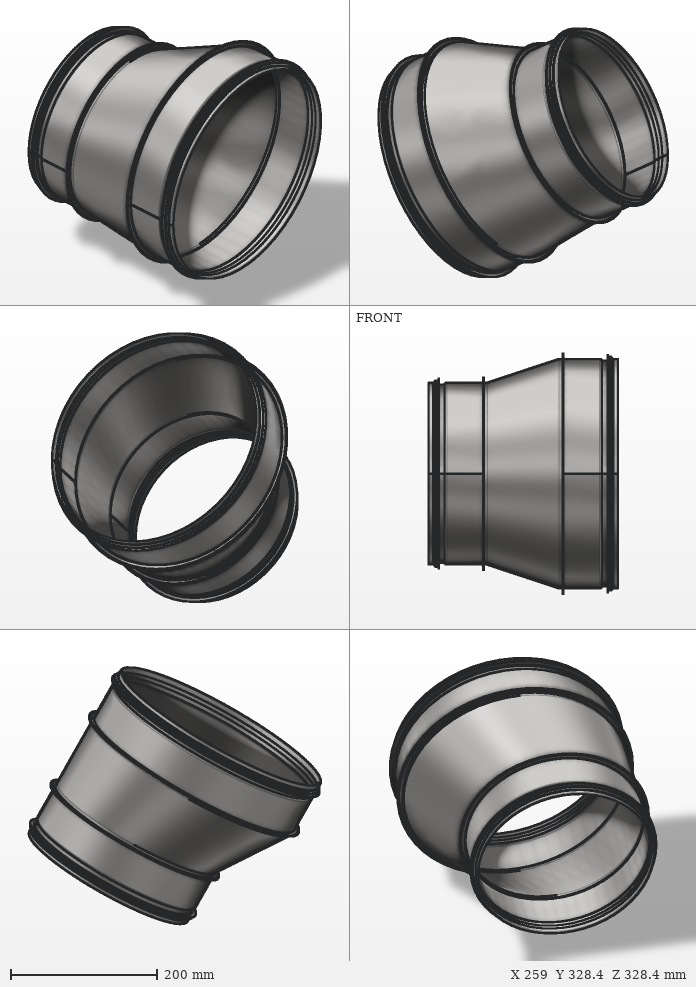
import cadquery as cq
import math

LENGTH = 259.0
SMALL_OD = 249.0
LARGE_OD = 314.0
SHEET = 0.5
SMALL_AXIS_Y = -(LARGE_OD - SMALL_OD) / 2

HEM_LENGTH = 6.2
HEM_SLOPE_END = 8.5
GROOVE_DEPTH = 2.45
GROOVE_END = 21.7
SLOPE_END = 24.3
SLOPE_BEND = 0.82
FLANGE_PLANE = 75.2
FLANGE_HEIGHT = 7.2
FLANGE_RETURN = 2.0
FLANGE_BEND = 1.0
SEAM_ANGLE = 0.2

CONE_START = 80.5

SEAL_THICKNESS = 1.8
SEAL_LIP_WIDTH = 1.5
SEAL_LIP_LEAN = 3.0
SEAL_LIP_HEIGHT = 2.8
FIN_START = 13.8
FIN_END = 14.8
FIN_HEIGHT = 5.3


def small_end(distance, radius):
    """XY point at a distance from the small open end, on the +Y side of its axis."""
    return (distance, SMALL_AXIS_Y + radius)


def large_end(distance, radius):
    """XY point at a distance from the large open end, on the +Y side of its axis."""
    return (LENGTH - distance, radius)


def revolve_about(profile, axis_y, gap_angle=0):
    """Revolve a +Y side profile about an axis along X, leaving any gap on the -Y side."""
    axis_start = (0, axis_y, 0)
    axis_end = (1, axis_y, 0)
    ring = profile.close().revolve(360 - gap_angle, axis_start, axis_end)
    return ring.rotate(axis_start, axis_end, 180 + gap_angle / 2)


def make_collar(end, duct_od, axis_y):
    """Rolled sheet collar with a thick open end, a seal groove and a folded flange."""
    outer = duct_od / 2
    inner = outer - SHEET
    groove_outer = outer - GROOVE_DEPTH
    groove_inner = inner - GROOVE_DEPTH
    hem_round = (outer - groove_inner) / 2
    flange_outer = outer + FLANGE_HEIGHT
    flange_back = FLANGE_PLANE - SHEET
    return_start = FLANGE_PLANE + SHEET
    return_end = return_start + SHEET

    slope_angle = math.atan2(GROOVE_DEPTH, SLOPE_END - GROOVE_END)
    bend_start = SLOPE_END - SLOPE_BEND * math.cos(slope_angle)
    bend_end = SLOPE_END + SLOPE_BEND
    bend_drop = SLOPE_BEND * math.sin(slope_angle)
    arc_sag = 1 - math.sqrt(0.5)

    profile = (
        cq.Workplane("XY")
        .moveTo(*end(HEM_SLOPE_END, groove_outer))
        .lineTo(*end(HEM_LENGTH, outer))
        .lineTo(*end(hem_round, outer))
        .threePointArc(end(0, outer - hem_round), end(hem_round, groove_inner))
        .lineTo(*end(GROOVE_END, groove_inner))
        .lineTo(*end(bend_start, inner - bend_drop))
        .tangentArcPoint(end(bend_end, inner), relative=False)
        .lineTo(*end(FLANGE_PLANE, inner))
        .lineTo(*end(FLANGE_PLANE, flange_outer - SHEET))
        .lineTo(*end(return_start, flange_outer - SHEET))
        .lineTo(*end(return_start, flange_outer - FLANGE_RETURN))
        .lineTo(*end(return_end, flange_outer - FLANGE_RETURN))
        .lineTo(*end(return_end, flange_outer))
        .lineTo(*end(flange_back, flange_outer))
        .lineTo(*end(flange_back, outer + FLANGE_BEND))
        .threePointArc(
            end(flange_back - FLANGE_BEND * arc_sag, outer + FLANGE_BEND * arc_sag),
            end(flange_back - FLANGE_BEND, outer),
        )
        .lineTo(*end(bend_end, outer))
        .tangentArcPoint(end(bend_start, outer - bend_drop), relative=False)
        .lineTo(*end(GROOVE_END, groove_outer))
    )
    return revolve_about(profile, axis_y, SEAM_ANGLE)


def make_seal(end, duct_od, axis_y):
    """Rubber ring in the groove against the slope of the hem, with a leaning lip and a tall straight fin."""
    collar_radius = duct_od / 2
    seat = collar_radius - GROOVE_DEPTH
    body = seat + SEAL_THICKNESS
    lip_start = HEM_SLOPE_END - (HEM_SLOPE_END - HEM_LENGTH) * SEAL_THICKNESS / GROOVE_DEPTH
    lip_outer = collar_radius + SEAL_LIP_HEIGHT
    lip_tip = lip_start + SEAL_LIP_LEAN
    fin_outer = collar_radius + FIN_HEIGHT
    profile = (
        cq.Workplane("XY")
        .moveTo(*end(HEM_SLOPE_END, seat))
        .lineTo(*end(lip_start, body))
        .lineTo(*end(lip_tip, lip_outer))
        .lineTo(*end(lip_tip + SEAL_LIP_WIDTH, lip_outer))
        .lineTo(*end(lip_start + SEAL_LIP_WIDTH, body))
        .lineTo(*end(FIN_START, body))
        .lineTo(*end(FIN_START, fin_outer))
        .lineTo(*end(FIN_END, fin_outer))
        .lineTo(*end(FIN_END, seat))
    )
    return revolve_about(profile, axis_y)


def disc(x_start, thickness, axis_y, diameter):
    """Solid cylinder along X."""
    return cq.Workplane("YZ", origin=(x_start, axis_y, 0)).circle(diameter / 2).extrude(thickness)


def cone_envelope(inset):
    """Solid neck, eccentric cone and neck, with every radius reduced by inset."""
    small_diameter = SMALL_OD - 2 * inset
    large_diameter = LARGE_OD - 2 * inset
    neck_length = CONE_START - FLANGE_PLANE
    cone = (
        cq.Workplane("YZ", origin=(CONE_START, SMALL_AXIS_Y, 0))
        .circle(small_diameter / 2)
        .workplane(offset=LENGTH - 2 * CONE_START)
        .center(-SMALL_AXIS_Y, 0)
        .circle(large_diameter / 2)
        .loft(ruled=True)
    )
    small_neck = disc(FLANGE_PLANE, neck_length, SMALL_AXIS_Y, small_diameter)
    large_neck = disc(LENGTH - CONE_START, neck_length, 0, large_diameter)
    return small_neck.union(cone).union(large_neck)


def make_cone():
    """Eccentric sheet metal cone with a flange at each end."""
    flange_rise = 2 * (FLANGE_HEIGHT - SHEET)
    large_flange_start = LENGTH - FLANGE_PLANE - SHEET
    small_flange = disc(FLANGE_PLANE, SHEET, SMALL_AXIS_Y, SMALL_OD + flange_rise)
    large_flange = disc(large_flange_start, SHEET, 0, LARGE_OD + flange_rise)
    outside = cone_envelope(0).union(small_flange).union(large_flange)
    return outside.cut(cone_envelope(SHEET))


cone = make_cone()

collars = []
seals = []
for end, duct_od, axis_y in (
    (small_end, SMALL_OD, SMALL_AXIS_Y),
    (large_end, LARGE_OD, 0),
):
    collars.append(make_collar(end, duct_od, axis_y).val())
    seals.append(make_seal(end, duct_od, axis_y).val())

result = cq.Compound.makeCompound([cone.val(), *collars, *seals])